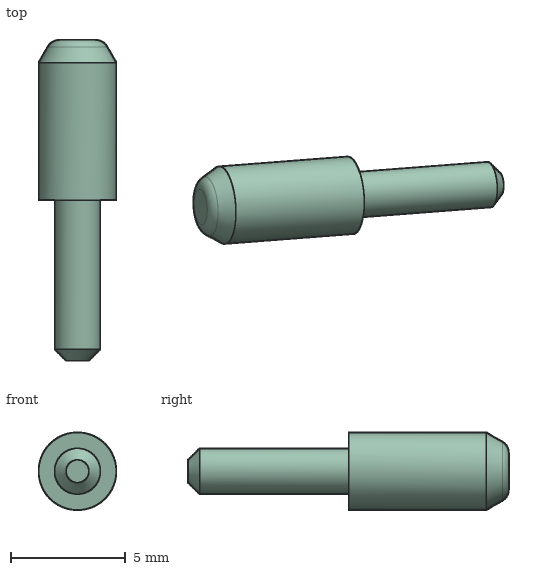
import cadquery as cq
import math


head_length = 7.0
head_radius = 3.4 / 2
taper_length = 1.0
taper_angle = math.radians(30)
nose_radius = 0.6

pin_length = 7.0
pin_radius = 2.0 / 2
tip_chamfer = 0.5


def make_head():
    """Revolve the head; its nose arc is tangent to the taper and the end face."""
    nose_center_y = head_length - nose_radius
    taper_start_y = head_length - taper_length
    taper_end_y = nose_center_y + nose_radius * math.sin(taper_angle)
    taper_end_radius = head_radius - (taper_end_y - taper_start_y) * math.tan(taper_angle)
    end_face_radius = taper_end_radius - nose_radius * math.cos(taper_angle)

    middle_angle = (taper_angle + math.pi / 2) / 2
    nose_middle = (
        end_face_radius + nose_radius * math.cos(middle_angle),
        nose_center_y + nose_radius * math.sin(middle_angle),
    )
    return (
        cq.Workplane("XY")
        .lineTo(head_radius, 0)
        .lineTo(head_radius, taper_start_y)
        .lineTo(taper_end_radius, taper_end_y)
        .threePointArc(nose_middle, (end_face_radius, head_length))
        .lineTo(0, head_length)
        .close()
        .revolve(360, (0, 0, 0), (0, 1, 0))
    )


def make_pin():
    """Revolve the pin, from the face against the head to the chamfered tip."""
    return (
        cq.Workplane("XY")
        .lineTo(pin_radius, 0)
        .lineTo(pin_radius, tip_chamfer - pin_length)
        .lineTo(pin_radius - tip_chamfer, -pin_length)
        .lineTo(0, -pin_length)
        .close()
        .revolve(360, (0, 0, 0), (0, 1, 0))
    )


head = make_head()
pin = make_pin()

result = cq.Compound.makeCompound([head.val(), pin.val()])